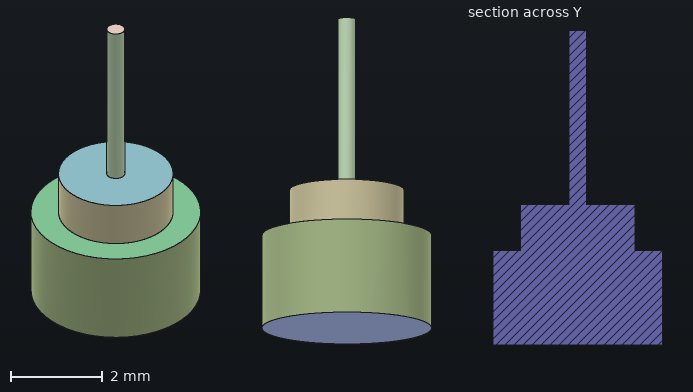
import cadquery as cq

total_height = 6.85
base_diameter = 3.7
base_height = 2.06
collar_diameter = 2.5
collar_height = 1.0
pin_diameter = 0.4

pin_length = total_height - base_height - collar_height


def add_cylinder(body, diameter, height):
    """Stack a concentric cylinder on the top face of the body."""
    return body.faces(">Z").workplane().circle(diameter / 2).extrude(height)


base = cq.Workplane("XY").circle(base_diameter / 2).extrude(base_height)

with_collar = add_cylinder(base, collar_diameter, collar_height)

result = add_cylinder(with_collar, pin_diameter, pin_length)